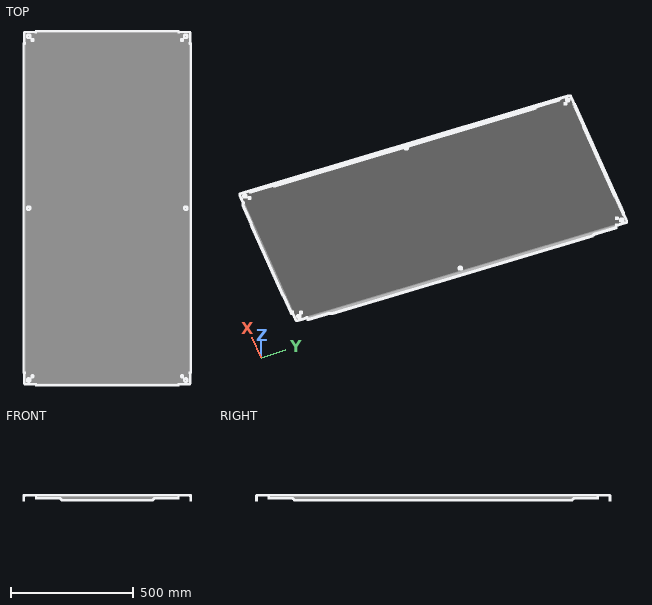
import cadquery as cq
import math

WIDTH = 684.21
LENGTH = 1446.21
DEPTH = 22.23

THICKNESS = 3.04
INNER_BEND_RADIUS = 3.175
BEND_RADIUS = INNER_BEND_RADIUS + THICKNESS

CORNER_LENGTH = 51.2
TAB_INSET = 3.175
TAB_RADIUS = 6.35
RELIEF_WIDTH = 1.6

SHALLOW_DEPTH = 14.3
STEP_INSET = 157.0
STEP_RUN = DEPTH - SHALLOW_DEPTH

MOUNTING_DIAMETER = 12.7
MOUNTING_INSET = 21.43
PILOT_DIAMETER = 7.14
PILOT_INSET = 36.5


def slab(x_size, y_size):
    """Flat rectangle of sheet centred on the origin, with its top face at Z = 0."""
    return cq.Workplane("XY").rect(x_size, y_size).extrude(-THICKNESS)


def make_plate():
    """Core bounded by the bend tangents, plus four rounded corner tabs."""
    core = slab(WIDTH - 2 * BEND_RADIUS, LENGTH - 2 * BEND_RADIUS)
    tabs = slab(WIDTH - 2 * TAB_INSET, LENGTH - 2 * TAB_INSET).edges("|Z").fillet(TAB_RADIUS)
    tab_length = CORNER_LENGTH - RELIEF_WIDTH
    tabs = tabs.cut(slab(WIDTH - 2 * tab_length, LENGTH))
    tabs = tabs.cut(slab(WIDTH, LENGTH - 2 * tab_length))
    return core.union(tabs)


def make_flange(span, edge_length):
    """Flange along Y, bent down from the plate with its outer face at X = -span / 2."""
    face = -span / 2
    tangent = face + BEND_RADIUS
    outer_mid = BEND_RADIUS * math.sqrt(0.5)
    inner_mid = INNER_BEND_RADIUS * math.sqrt(0.5)
    bent_strip = (
        cq.Workplane("XZ")
        .moveTo(tangent, 0)
        .threePointArc((tangent - outer_mid, outer_mid - BEND_RADIUS), (face, -BEND_RADIUS))
        .lineTo(face, -DEPTH)
        .lineTo(face + THICKNESS, -DEPTH)
        .lineTo(face + THICKNESS, -BEND_RADIUS)
        .threePointArc((tangent - inner_mid, inner_mid - BEND_RADIUS), (tangent, -THICKNESS))
        .close()
        .extrude(edge_length / 2, both=True)
    )
    end = edge_length / 2 - CORNER_LENGTH
    deep_end = edge_length / 2 - STEP_INSET
    outline = (
        cq.Workplane("YZ")
        .moveTo(-end, 0)
        .lineTo(-end, -SHALLOW_DEPTH)
        .lineTo(-deep_end - STEP_RUN, -SHALLOW_DEPTH)
        .lineTo(-deep_end, -DEPTH)
        .lineTo(deep_end, -DEPTH)
        .lineTo(deep_end + STEP_RUN, -SHALLOW_DEPTH)
        .lineTo(end, -SHALLOW_DEPTH)
        .lineTo(end, 0)
        .close()
        .extrude(-span)
    )
    return bent_strip.intersect(outline)


def turn(body, angle):
    """Rotate a body about the Z axis."""
    return body.rotate((0, 0, 0), (0, 0, 1), angle)


def make_holes(diameter, inset, rows):
    """Cutters at both sides of the panel, one pair per row (-1 and 1 are the ends, 0 the middle)."""
    x = WIDTH / 2 - inset
    y = LENGTH / 2 - inset
    centres = [(side * x, row * y) for side in (-1, 1) for row in rows]
    return cq.Workplane("XY").pushPoints(centres).circle(diameter / 2).extrude(-THICKNESS)


def make_panel():
    """Plate with two long flanges, two short flanges and the holes."""
    long_flange = make_flange(WIDTH, LENGTH)
    short_flange = turn(make_flange(LENGTH, WIDTH), 90)
    panel = make_plate()
    for angle in (0, 180):
        panel = panel.union(turn(long_flange, angle))
        panel = panel.union(turn(short_flange, angle))
    panel = panel.cut(make_holes(MOUNTING_DIAMETER, MOUNTING_INSET, (-1, 0, 1)))
    return panel.cut(make_holes(PILOT_DIAMETER, PILOT_INSET, (-1, 1)))


result = make_panel()